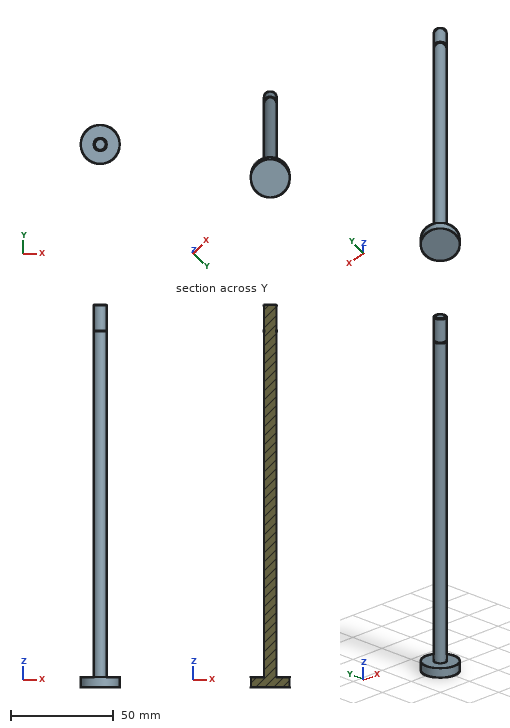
import cadquery as cq

total_length = 186.27
head_diameter = 19.05
head_thickness = 5.0
rod_diameter = 6.35
end_length = 12.7
groove_width = 0.5
groove_depth = 0.25
tip_chamfer = 0.5

rod_radius = rod_diameter / 2


def make_head():
    """Round disc at the bottom of the part."""
    return cq.Workplane("XY").circle(head_diameter / 2).extrude(head_thickness)


def make_rod():
    """Full-length rod with a small chamfer around its free end."""
    rod = cq.Workplane("XY").circle(rod_radius).extrude(total_length)
    return rod.faces(">Z").chamfer(tip_chamfer)


def make_groove_cutter():
    """Thin ring that cuts the groove around the rod near its free end."""
    groove_bottom = total_length - end_length - groove_width
    return (
        cq.Workplane("XY", origin=(0, 0, groove_bottom))
        .circle(rod_radius)
        .circle(rod_radius - groove_depth)
        .extrude(groove_width)
    )


result = make_head().union(make_rod()).cut(make_groove_cutter())